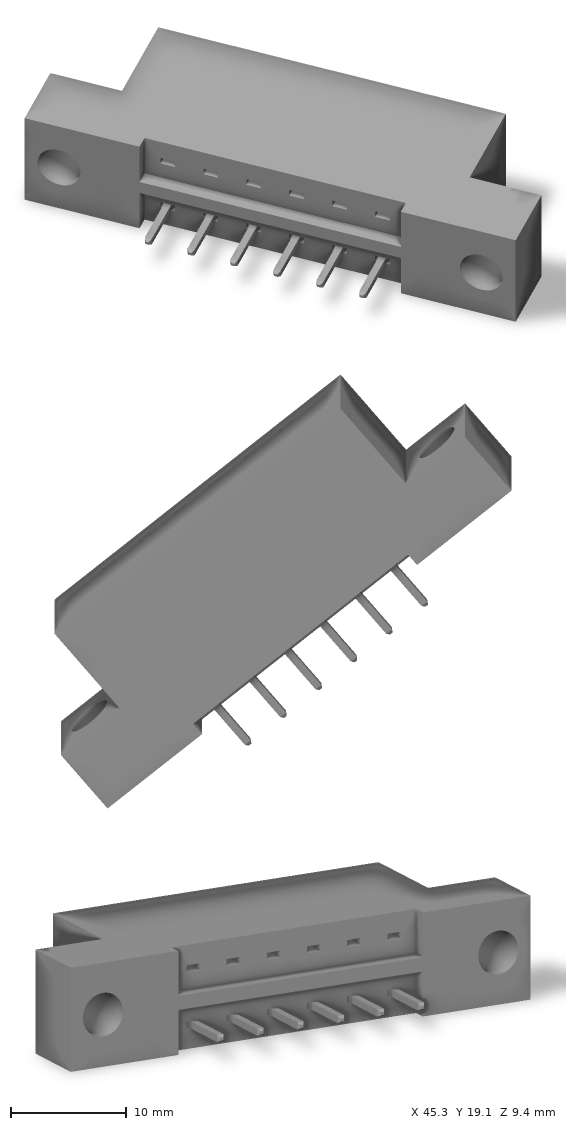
import cadquery as cq

flange_width = 45.3
flange_depth = 6.3
block_width = 32.1
housing_depth = 15.2
housing_height = 9.4

mount_hole_diameter = 3.95
mount_hole_spacing = 38.95

recess_width = 24.1
recess_depth = 1.22
rib_height = 1.25
recess_height = (housing_height - rib_height) / 2

contact_count = 6
contact_span = 19.8
contact_pitch = contact_span / (contact_count - 1)
row_spacing = 5.07
slot_width = 1.35
slot_height = 0.65
lower_row_z = -row_spacing / 2
upper_row_z = row_spacing / 2

tail_width = 0.65
tail_reach = 3.9
shoulder_length = 0.85
tip_length = 0.3
tip_bevel = 0.2

contact_xs = [(i - (contact_count - 1) / 2) * contact_pitch for i in range(contact_count)]


def box(width, depth, height, x=0.0, front_y=0.0, z=0.0):
    """A box centred on x and z that runs back (+Y) from front_y."""
    return cq.Workplane("XY").box(width, depth, height).translate((x, front_y + depth / 2, z))


def make_housing():
    flange = box(flange_width, flange_depth, housing_height)
    block = box(block_width, housing_depth, housing_height)
    housing = flange.union(block)

    for side in (-1, 1):
        hole = (
            cq.Workplane("XZ")
            .center(side * mount_hole_spacing / 2, 0)
            .circle(mount_hole_diameter / 2)
            .extrude(-flange_depth)
        )
        housing = housing.cut(hole)

        recess_z = side * (rib_height + recess_height) / 2
        housing = housing.cut(box(recess_width, recess_depth, recess_height, z=recess_z))

    for x in contact_xs:
        for z in (lower_row_z, upper_row_z):
            housing = housing.cut(box(slot_width, housing_depth, slot_height, x=x, z=z))
    return housing


def make_contact(x):
    half_slot = slot_width / 2
    half_tail = tail_width / 2
    tail_start_y = recess_depth
    shoulder_y = tail_start_y + shoulder_length
    tip_start_y = -tail_reach + tip_length

    profile = [
        (-half_slot, housing_depth),
        (-half_slot, shoulder_y),
        (-half_tail, tail_start_y),
        (-half_tail, tip_start_y),
        (half_tail, tip_start_y),
        (half_tail, tail_start_y),
        (half_slot, shoulder_y),
        (half_slot, housing_depth),
    ]
    blade_and_tail = (
        cq.Workplane("XY")
        .polyline(profile)
        .close()
        .extrude(slot_height / 2, both=True)
    )
    tip = (
        cq.Workplane("XZ", origin=(0, tip_start_y, 0))
        .rect(tail_width, slot_height)
        .workplane(offset=tip_length)
        .rect(tail_width - 2 * tip_bevel, slot_height - 2 * tip_bevel)
        .loft(ruled=True)
    )
    return blade_and_tail.union(tip).translate((x, 0, lower_row_z))


housing = make_housing()
contacts = [make_contact(x) for x in contact_xs]

result = cq.Compound.makeCompound([housing.val(), *[contact.val() for contact in contacts]])